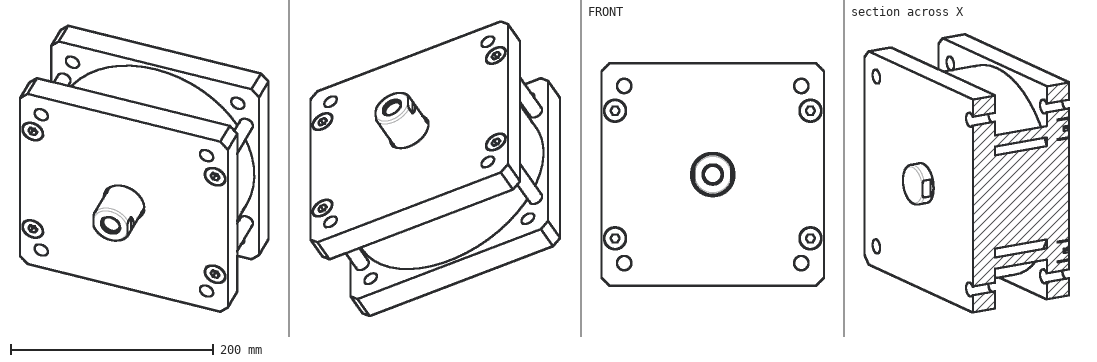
import cadquery as cq
import math

PLATE_GAP = 60.0
PLATE_THICKNESS = 26.0
FRONT_SHAFT_LENGTH = 37.0
REAR_SHAFT_LENGTH = 12.0
PLATE_INNER_Y = PLATE_GAP / 2
PLATE_OUTER_Y = PLATE_INNER_Y + PLATE_THICKNESS
SHAFT_FRONT_Y = -(PLATE_OUTER_Y + FRONT_SHAFT_LENGTH)
SHAFT_REAR_Y = PLATE_OUTER_Y + REAR_SHAFT_LENGTH

PLATE_SIDE = 220.0
PLATE_CORNER_CHAMFER = 8.0
MOUNT_HOLE_DIAMETER = 14.0
MOUNT_HOLE_OFFSET = 87.5

BARREL_DIAMETER = 210.0
TIE_ROD_DIAMETER = 14.0
TIE_ROD_X = 96.5
TIE_ROD_Z = 63.0

HEAD_POCKET_DIAMETER = 22.0
HEAD_DIAMETER = 21.0
HEAD_HEIGHT = 13.0
HEX_ACROSS_FLATS = 8.0
HEX_DEPTH = 6.0
HEX_HALF_SIDE_ANGLE = 30.0

SHAFT_DIAMETER = 40.0
SHAFT_END_FILLET = 2.0
SEAL_RECESS_DIAMETER = 43.0
SEAL_RECESS_DEPTH = 5.0
FLAT_ACROSS = 36.0
FLAT_LENGTH = 9.5
THREAD_CORE_DIAMETER = 17.29
COUNTERBORE_DIAMETER = 20.25
COUNTERBORE_DEPTH = 2.5
THREAD_DEPTH = 40.0
DRILL_POINT_HALF_ANGLE = 59.0


def disc(diameter, y_start, y_end, x=0.0, z=0.0):
    """Cylinder parallel to Y between two Y stations."""
    base = cq.Vector(x, y_start, z)
    solid = cq.Solid.makeCylinder(diameter / 2, y_end - y_start, base, cq.Vector(0, 1, 0))
    return cq.Workplane(obj=solid)


def corner_points(x, z):
    """The four points mirrored about the X and Z axes."""
    return [(sx * x, sz * z) for sx in (-1, 1) for sz in (-1, 1)]


def end_plate(y_start):
    """Square plate with chamfered corners and four through mounting holes."""
    plate = cq.Workplane("XY").box(PLATE_SIDE, PLATE_THICKNESS, PLATE_SIDE)
    plate = plate.edges("|Y").chamfer(PLATE_CORNER_CHAMFER)
    plate = plate.translate((0, y_start + PLATE_THICKNESS / 2, 0))
    for x, z in corner_points(MOUNT_HOLE_OFFSET, MOUNT_HOLE_OFFSET):
        plate = plate.cut(disc(MOUNT_HOLE_DIAMETER, y_start, y_start + PLATE_THICKNESS, x, z))
    return plate


def front_plate():
    """End plate with screw head pockets, screw heads and the recess around the shaft."""
    face_y = -PLATE_OUTER_Y
    plate = end_plate(face_y)
    plate = plate.cut(disc(SEAL_RECESS_DIAMETER, face_y, face_y + SEAL_RECESS_DEPTH))
    hex_across_corners = HEX_ACROSS_FLATS / math.cos(math.radians(HEX_HALF_SIDE_ANGLE))
    for x, z in corner_points(TIE_ROD_X, TIE_ROD_Z):
        plate = plate.cut(disc(HEAD_POCKET_DIAMETER, face_y, face_y + HEAD_HEIGHT, x, z))
        plate = plate.union(disc(HEAD_DIAMETER, face_y, face_y + HEAD_HEIGHT, x, z))
        socket = cq.Workplane("XZ", origin=(x, face_y + HEX_DEPTH, z))
        plate = plate.cut(socket.polygon(6, hex_across_corners).extrude(HEX_DEPTH))
    return plate


def flat_cutter(end_y, inward, side):
    """Wrench flat on one side of a shaft end; its inner end runs out at 45 degrees."""
    flat_x = FLAT_ACROSS / 2
    run_out = SHAFT_DIAMETER / 2 - flat_x
    inner_y = end_y + inward * FLAT_LENGTH
    profile = [
        (side * flat_x, end_y),
        (side * flat_x, inner_y),
        (side * (flat_x + run_out), inner_y + inward * run_out),
        (side * (flat_x + run_out), end_y),
    ]
    section = cq.Workplane("XY").polyline(profile).close()
    return section.extrude(SHAFT_DIAMETER / 2, both=True)


def thread_hole():
    """Blind axial hole with a shallow counterbore and a conical drill point."""
    core_radius = THREAD_CORE_DIAMETER / 2
    counterbore_radius = COUNTERBORE_DIAMETER / 2
    counterbore_end_y = SHAFT_FRONT_Y + COUNTERBORE_DEPTH
    straight_end_y = SHAFT_FRONT_Y + THREAD_DEPTH
    point_length = core_radius / math.tan(math.radians(DRILL_POINT_HALF_ANGLE))
    profile = [
        (0, SHAFT_FRONT_Y),
        (counterbore_radius, SHAFT_FRONT_Y),
        (counterbore_radius, counterbore_end_y),
        (core_radius, counterbore_end_y),
        (core_radius, straight_end_y),
        (0, straight_end_y + point_length),
    ]
    return cq.Workplane("XY").polyline(profile).close().revolve(360, (0, 0), (0, 1))


def shaft():
    """Through shaft with rounded ends and wrench flats."""
    body = disc(SHAFT_DIAMETER, SHAFT_FRONT_Y, SHAFT_REAR_Y)
    body = body.faces("<Y or >Y").edges().fillet(SHAFT_END_FILLET)
    for end_y, inward in ((SHAFT_FRONT_Y, 1), (SHAFT_REAR_Y, -1)):
        for side in (-1, 1):
            body = body.cut(flat_cutter(end_y, inward, side))
    return body


def assemble():
    """Join the plates, barrel, tie rods and shaft, then drill the shaft's front end."""
    part = front_plate().union(end_plate(PLATE_INNER_Y))
    part = part.union(disc(BARREL_DIAMETER, -PLATE_INNER_Y, PLATE_INNER_Y))
    for x, z in corner_points(TIE_ROD_X, TIE_ROD_Z):
        part = part.union(disc(TIE_ROD_DIAMETER, -PLATE_INNER_Y, PLATE_INNER_Y, x, z))
    return part.union(shaft()).cut(thread_hole())


result = assemble()